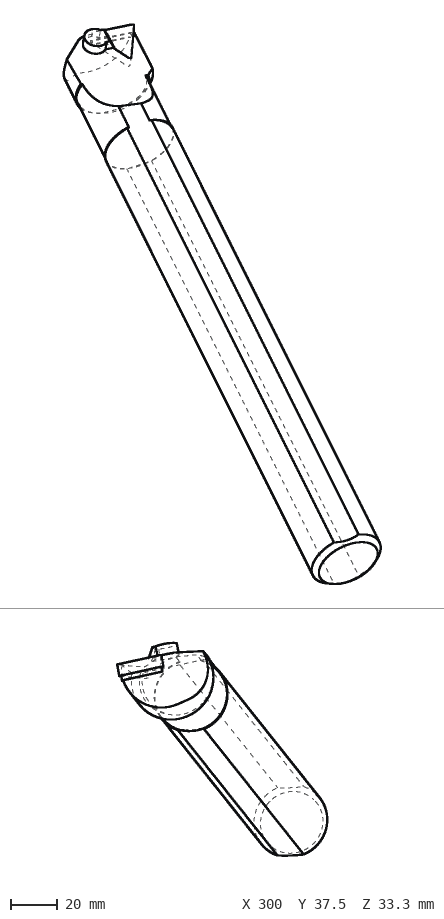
import cadquery as cq
import math

length = 300.0
shank_diameter = 32.0
shank_radius = shank_diameter / 2
flat_height = 15.0
shank_start = 60.0
tail_chamfer = 2.5
neck_diameter = 31.5
neck_radius = neck_diameter / 2

head_center_y = 1.95
head_center_z = -0.3
head_radius = 18.0
head_length = 26.7
head_cone = 3.0

rake_height = 4.5
rake_slope = 4.0
rake_tilt = 10.0
scoop_start = 27.0
scoop_end = 51.0
scoop_end_height = 7.8
cut_size = 90.0

tip_y = 22.2
insert_reach = 19.2
insert_back_y = 13.0
insert_low_y = 1.5
insert_corner_radius = 0.75
insert_thickness = 5.0
seat_inset = 0.45
seat_thickness = 2.0

front_setback = 1.0
nose_corner_y = -3.3
nose_angle = 45.0
nose_round = 7.5
relief_depth = insert_thickness + seat_thickness
relief_angle = 5.0

clamp_x = 7.2
clamp_y = 0.5
clamp_radius = 5.0
clamp_height = 4.8
beak_half_width = 3.5
beak_reach = 7.8

slope = math.radians(rake_slope)
tilt = math.radians(rake_tilt)
rake_normal = cq.Vector(-math.sin(slope), math.sin(tilt) * math.cos(slope), math.cos(tilt) * math.cos(slope))
rake_x = cq.Vector(math.cos(slope), 0, math.sin(slope) / math.cos(tilt))
rake_plane = cq.Plane(origin=(0, 0, rake_height), xDir=rake_x, normal=rake_normal)


def rake_offset(depth):
    """Workplane parallel to the rake face, the given depth below it."""
    return cq.Workplane(rake_plane).workplane(offset=-depth)


def make_shank():
    shank = cq.Workplane("YZ", origin=(shank_start, 0, 0)).circle(shank_radius).extrude(length - shank_start)
    shank = shank.faces(">X").chamfer(tail_chamfer)
    flats = cq.Workplane("XY").box(2 * length, cut_size, 2 * flat_height)
    return shank.intersect(flats)


def make_neck():
    neck = cq.Workplane("YZ").circle(neck_radius).extrude(shank_start)
    top_flat = cq.Workplane("XY", origin=(0, 0, flat_height)).rect(2 * length, cut_size).extrude(cut_size)
    return neck.cut(top_flat)


def make_head():
    end = head_length + head_cone
    return (
        cq.Workplane("YZ", origin=(0, head_center_y, head_center_z))
        .circle(head_radius)
        .extrude(end)
        .faces(">X")
        .chamfer(head_cone)
    )


def make_scoop():
    """Material above the rake face, which curves up to the flat of the neck."""
    side_plane = cq.Plane(rake_plane.origin, rake_plane.xDir, -rake_plane.yDir)
    return (
        cq.Workplane(side_plane)
        .moveTo(-cut_size, 0)
        .lineTo(scoop_start, 0)
        .tangentArcPoint((scoop_end, scoop_end_height), relative=False)
        .lineTo(scoop_end, cut_size)
        .lineTo(-cut_size, cut_size)
        .close()
        .extrude(cut_size, both=True)
    )


def nose_outline():
    """Straight front edge, rounded corner and angled edge, closed far behind the nose."""
    turn = math.radians(nose_angle)
    tangent = nose_round * math.tan(turn / 2)
    arc_end = (front_setback + tangent * math.sin(turn), nose_corner_y - tangent * math.cos(turn))
    angled_end = (front_setback + cut_size * math.tan(turn), nose_corner_y - cut_size)
    return (
        rake_offset(relief_depth)
        .moveTo(front_setback, cut_size)
        .lineTo(front_setback, nose_corner_y + tangent)
        .tangentArcPoint(arc_end, relative=False)
        .lineTo(*angled_end)
        .lineTo(2 * length, angled_end[1])
        .lineTo(2 * length, cut_size)
        .close()
    )


def make_nose_envelope():
    """Space behind the nose: upright down to the relief depth, leaning back below it."""
    upper = nose_outline().extrude(cut_size)
    lower = nose_outline().extrude(-cut_size, taper=relief_angle)
    return upper.union(lower)


def triangle_prism(depth, thickness, inset=0):
    """Rounded triangular prism hanging from the given depth, with its front side along the nose."""
    corners = [(0, tip_y), (insert_reach, insert_back_y), (0, insert_low_y)]
    outline = rake_offset(depth).polyline(corners).close()
    if inset > 0:
        outline = outline.offset2D(-inset, "intersection")
    prism = outline.extrude(-thickness)
    side_edges = cq.selectors.ParallelDirSelector(rake_plane.zDir)
    return prism.edges(side_edges).fillet(insert_corner_radius)


def make_clamp():
    """Screw head standing on the rake face, and its wedge-shaped beak."""
    screw_head = (
        cq.Workplane(rake_plane).center(clamp_x, clamp_y).circle(clamp_radius).extrude(clamp_height)
    )
    beak_plane = cq.Plane(rake_plane.toWorldCoords((clamp_x, clamp_y, 0)), rake_plane.yDir, rake_plane.xDir)
    beak = (
        cq.Workplane(beak_plane)
        .polyline([(0, 0), (beak_reach, 0), (clamp_radius, clamp_height), (0, clamp_height)])
        .close()
        .extrude(beak_half_width, both=True)
    )
    return screw_head.union(beak)


def make_insert():
    return triangle_prism(0, insert_thickness)


def make_holder(insert):
    front = make_neck().union(make_head())
    front = front.intersect(make_nose_envelope()).cut(make_scoop())
    seat = triangle_prism(insert_thickness, seat_thickness, seat_inset)
    return make_shank().union(front).union(seat).cut(insert).union(make_clamp())


insert = make_insert()
holder = make_holder(insert)
result = cq.Compound.makeCompound([holder.val(), insert.val()])